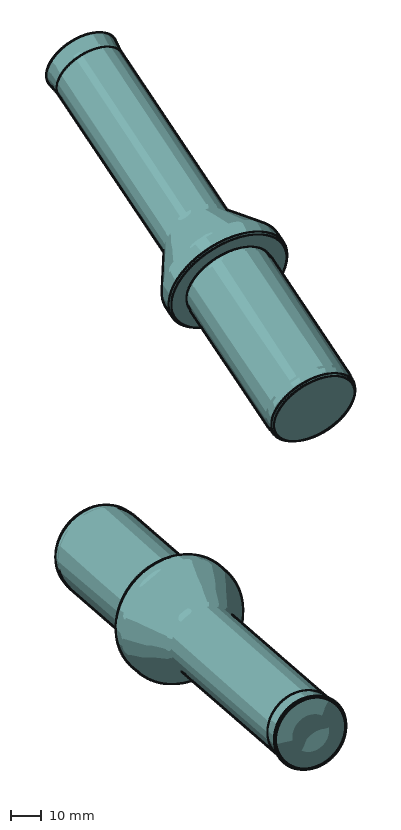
import cadquery as cq
import math

total_length = 165.0
center_x = total_length / 2
lip_x = 1.2
lip_bevel = 0.3
relief_end_x = 6.1
joint_x = 7.5
flare_start_x = 82.8
collar_end_x = 105.0
neck_end_x = 106.0
shank_start_x = 107.0
shank_end_x = 161.0
pilot_start_x = 161.9
pilot_taper_x = 163.7

stem_diameter = 25.0
head_diameter = 26.2
head_face_diameter = 25.0
dish_diameter = 12.9
face_land_diameter = 13.9
collar_diameter = 44.0
shank_diameter = 32.0
pilot_diameter = 31.5
tail_diameter = 31.2

dish_depth = 1.0
flare_angle = 30.0
flare_root_radius = 5.0
flare_rim_radius = 3.0
collar_chamfer = 0.7
tail_chamfer = 0.7

stem_radius = stem_diameter / 2
collar_radius = collar_diameter / 2
flare_length = (collar_radius - stem_radius) / math.tan(math.radians(flare_angle))
flare_end_x = flare_start_x + flare_length


def revolve_about_axis(profile):
    """Revolve a closed half profile, drawn as (x, radius), about the X axis."""
    turned = profile.close().revolve(360, (0, 0, 0), (1, 0, 0))
    return turned.translate((-center_x, 0, 0))


def circle_edge_at(x, radius):
    """Select the circular edge at distance x along the part."""
    margin = 0.2
    reach = radius + 1.6
    return cq.selectors.BoxSelector(
        (x - center_x - margin, -reach, -reach),
        (x - center_x + margin, reach, reach),
        boundingbox=True,
    )


def make_head():
    """Back-tapered cutting head with a conical face and a shallow conical dish."""
    profile = (
        cq.Workplane("XY")
        .moveTo(dish_depth, 0)
        .lineTo(0, dish_diameter / 2)
        .lineTo(0, face_land_diameter / 2)
        .lineTo(lip_x - lip_bevel, head_face_diameter / 2)
        .lineTo(lip_x, head_diameter / 2)
        .lineTo(relief_end_x, stem_radius)
        .lineTo(joint_x, stem_radius)
        .lineTo(joint_x, 0)
    )
    return revolve_about_axis(profile)


def make_holder():
    """Stem, flared collar and shank with a stepped, tapered tail."""
    profile = (
        cq.Workplane("XY")
        .moveTo(joint_x, 0)
        .lineTo(joint_x, stem_radius)
        .lineTo(flare_start_x, stem_radius)
        .lineTo(flare_end_x, collar_radius)
        .lineTo(collar_end_x - collar_chamfer, collar_radius)
        .lineTo(collar_end_x, collar_radius - collar_chamfer)
        .lineTo(collar_end_x, pilot_diameter / 2)
        .lineTo(neck_end_x, pilot_diameter / 2)
        .lineTo(shank_start_x, shank_diameter / 2)
        .lineTo(shank_end_x, shank_diameter / 2)
        .lineTo(pilot_start_x, pilot_diameter / 2)
        .lineTo(pilot_taper_x, pilot_diameter / 2)
        .lineTo(total_length - tail_chamfer, tail_diameter / 2)
        .lineTo(total_length, tail_diameter / 2 - tail_chamfer)
        .lineTo(total_length, 0)
    )
    holder = revolve_about_axis(profile)
    holder = holder.edges(circle_edge_at(flare_start_x, stem_radius)).fillet(flare_root_radius)
    return holder.edges(circle_edge_at(flare_end_x, collar_radius)).fillet(flare_rim_radius)


head = make_head()
holder = make_holder()

result = cq.Compound.makeCompound([head.val(), holder.val()])